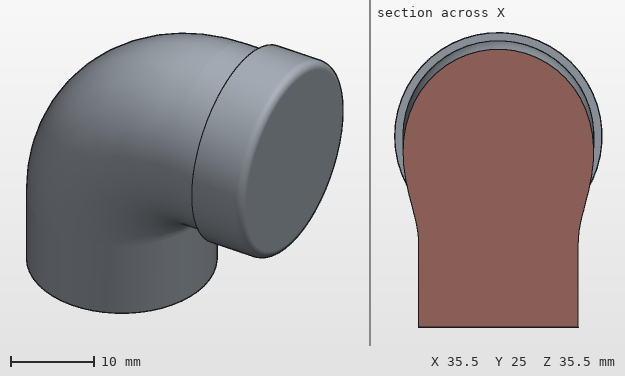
import cadquery as cq

overall_length = 35.5
pipe_diameter = 23.0
collar_diameter = 25.0
inlet_length = 10.0
bend_inner_radius = 1.5
collar_length = 7.0
collar_rounding = 1.0

pipe_radius = pipe_diameter / 2
bend_radius = bend_inner_radius + pipe_radius
outlet_height = inlet_length + bend_radius
outlet_end = overall_length - pipe_radius
neck_length = outlet_end - bend_radius - collar_length


def make_bend():
    """Quarter-turn elbow from the vertical pipe to the +X outlet."""
    return (
        cq.Workplane("XY", origin=(0, 0, inlet_length))
        .circle(pipe_radius)
        .revolve(90, (bend_radius, 0, 0), (bend_radius, 1, 0))
    )


def make_collar():
    """Enlarged outlet ring with a rounded outer rim."""
    return (
        cq.Workplane("YZ", origin=(outlet_end - collar_length, 0, outlet_height))
        .circle(collar_diameter / 2)
        .extrude(collar_length)
        .faces(">X")
        .edges()
        .fillet(collar_rounding)
    )


inlet = cq.Workplane("XY").circle(pipe_radius).extrude(inlet_length)
neck = (
    cq.Workplane("YZ", origin=(bend_radius, 0, outlet_height))
    .circle(pipe_radius)
    .extrude(neck_length)
)

result = inlet.union(make_bend()).union(neck).union(make_collar())